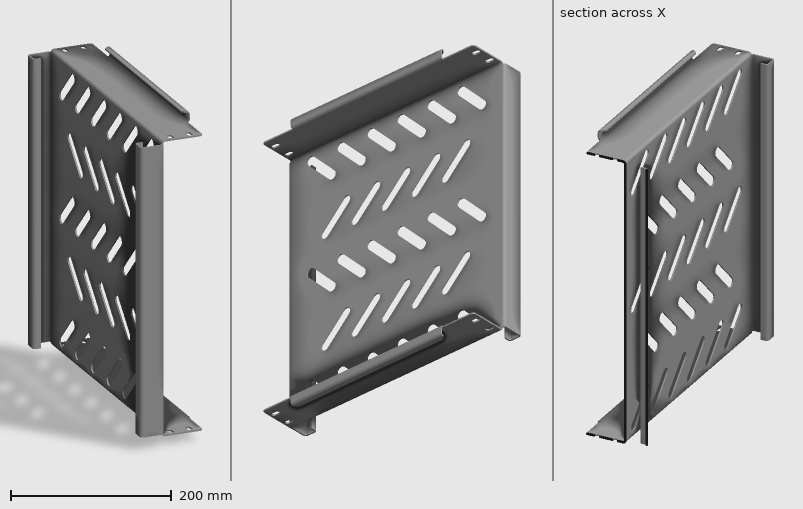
import cadquery as cq

width = 360.0
depth = 90.0
height = 420.0

thickness = 2.0
bend_outer_radius = 4.0
bend_mid_radius = bend_outer_radius - thickness / 2

channel_depth = 30.2
channel_width = 19.7
channel_lip = 10.0

flange_span = 394.0
hook_width = 250.0
hook_lip = 10.0
hook_chamfer = 5.0
flange_corner_radius = 4.0

mount_slot_length = 12.0
mount_slot_width = 6.7
mount_slot_x = 166.7
mount_slot_pitch = 25.0
mount_slot_rear_offset = 19.5

slot_width = 13.0
slot_travel = 49.5
slot_length = slot_travel + slot_width
slot_pitch = 50.0
slot_row_pitch = 82.0
slot_row_counts = (6, 5, 6, 5, 6)
slot_angle = 45
short_row_shift = 1.3

front_y = -depth / 2
rear_y = depth / 2
plate_front_y = front_y + channel_depth
plate_mid_y = plate_front_y + thickness / 2
flange_rear_y = rear_y - bend_outer_radius
flange_width = width - 2 * bend_outer_radius
flange_mid_z = (flange_span - thickness) / 2
channel_length = flange_span - 2 * bend_outer_radius


def bent_strip(corners, width_axis, strip_width):
    """Sheet following a mid-line with rounded corners, centred across its width."""
    points = [cq.Vector(*corner) for corner in corners]
    path = cq.Wire.makePolygon(points).fillet(bend_mid_radius)
    start = cq.Plane(origin=points[0], xDir=width_axis, normal=points[1] - points[0])
    return cq.Workplane(start).rect(strip_width, thickness).sweep(path)


def plate_with_channels():
    side_x = (width - thickness) / 2
    lip_x = width / 2 - channel_width + thickness / 2
    fold_y = front_y + thickness / 2
    lip_end_y = front_y + channel_lip
    right_half = [(side_x, plate_mid_y), (side_x, fold_y), (lip_x, fold_y), (lip_x, lip_end_y)]
    left_half = [(-x, y) for x, y in reversed(right_half)]
    section = [(x, y, 0) for x, y in left_half + right_half]
    return bent_strip(section, (0, 0, 1), channel_length)


def plate_slots():
    first_row_z = -slot_row_pitch * (len(slot_row_counts) - 1) / 2
    cutters = cq.Workplane("XZ", origin=(0, plate_mid_y, 0))
    for row, count in enumerate(slot_row_counts):
        is_short_row = row % 2 == 1
        slant = -slot_angle if is_short_row else slot_angle
        row_shift = short_row_shift if is_short_row else 0
        first_x = row_shift - slot_pitch * (count - 1) / 2
        row_z = first_row_z + row * slot_row_pitch
        centres = [(first_x + column * slot_pitch, row_z) for column in range(count)]
        cutters = cutters.pushPoints(centres).slot2D(slot_length, slot_width, slant)
    return cutters.extrude(thickness, both=True)


def top_flange():
    """Flange folded back from the top edge of the plate, with its mounting slots."""
    root_z = flange_mid_z - 2 * bend_outer_radius
    section = [(0, plate_mid_y, root_z), (0, plate_mid_y, flange_mid_z), (0, flange_rear_y, flange_mid_z)]
    flange = bent_strip(section, (1, 0, 0), flange_width)
    flange = flange.faces(">Y").edges("|Z").fillet(flange_corner_radius)

    rear_slot_y = rear_y - mount_slot_rear_offset
    slot_rows_y = (rear_slot_y, rear_slot_y - mount_slot_pitch)
    centres = [(x, y) for x in (-mount_slot_x, mount_slot_x) for y in slot_rows_y]
    slots = (
        cq.Workplane("XY", origin=(0, 0, flange_mid_z))
        .pushPoints(centres)
        .slot2D(mount_slot_length, mount_slot_width)
        .extrude(thickness, both=True)
    )
    return flange.cut(slots)


def top_hook():
    """Narrow strip that rises from the flange and folds forward over it."""
    root_y = flange_rear_y - bend_outer_radius
    fold_y = rear_y - thickness / 2
    lip_z = (height - thickness) / 2
    lip_end_y = rear_y - hook_lip
    section = [
        (0, root_y, flange_mid_z),
        (0, fold_y, flange_mid_z),
        (0, fold_y, lip_z),
        (0, lip_end_y, lip_z),
    ]
    hook = bent_strip(section, (1, 0, 0), hook_width)
    lip_corners = cq.selectors.BoxSelector(
        (-width, lip_end_y - thickness, lip_z - thickness),
        (width, lip_end_y + thickness, lip_z + thickness),
    )
    return hook.edges(lip_corners).edges("|Z").chamfer(hook_chamfer)


top_edge = top_flange().union(top_hook())
bottom_edge = top_edge.mirror("XY")
result = plate_with_channels().union(top_edge).union(bottom_edge).cut(plate_slots())